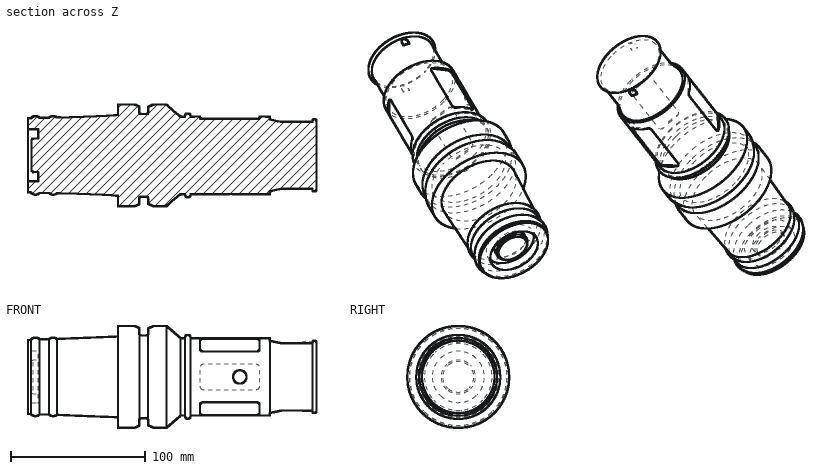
import cadquery as cq
import math

TOTAL_LENGTH = 215.14
FLANGE_RADIUS = 76.2 / 2

TIP_RADIUS = 27.7
SPIGOT_RADIUS = 28.2
TAPER_START_RADIUS = 28.4
TAPER_END_RADIUS = 30.2
SPIGOT_BEAD_RADIUS = 29.4
FIRST_BEAD_START = 2.2
FIRST_BEAD_END = 8.6
SECOND_BEAD_START = 15.8
SECOND_BEAD_END = 21.6

FLANGE_START = 67.0
GROOVE_START = 83.1
GROOVE_END = 89.5
GROOVE_RADIUS = 31.0
GROOVE_FILLET = 1.0
LIP_ANGLE = math.radians(25)
LIP_BEND_LENGTH = 2.0
FRONT_LIP_LENGTH = 2.6
REAR_LIP_LENGTH = 3.2
FLANGE_END = 103.2

BODY_START = 113.8
BODY_RADIUS = 29.0
BODY_BEAD_START = 117.0
BODY_BEAD_END = 121.3
BODY_BEAD_RADIUS = 31.4
BODY_END = 180.3
SHOULDER_RADIUS = 27.0
SHOULDER_END = 189.4

TAIL_RADIUS = 25.1
TAIL_BEAD_SIZE = 3.2
TAIL_BEAD_RADIUS = 27.1

RECESS_RADIUS = 19.3
RECESS_DEPTH = 7.6
STUD_RADIUS = 12.7
STUD_HEIGHT = 5.0
STUD_CHAMFER = 1.2

POCKET_COUNT = 3
POCKET_START = 128.4
POCKET_LENGTH = 44.1
POCKET_WIDTH = 19.2
POCKET_CORNER_RADIUS = 2.5
POCKET_FLOOR_RADIUS = 27.3

PLUG_X = 157.9
PLUG_RADIUS = 5.0
PLUG_HEIGHT = 0.1

ARROW_START = 204.9
ARROW_LENGTH = 6.5
ARROW_SHANK_LENGTH = 4.0
ARROW_WIDTH = 4.8
ARROW_HEIGHT = 0.4


def add_bead(profile, start, crest_radius, end):
    """Continue the profile to the start point, then over a rounded bead."""
    crest = ((start[0] + end[0]) / 2, crest_radius)
    return profile.lineTo(*start).threePointArc(crest, end)


def make_turned_body():
    """Revolve the stepped outline about X."""
    bend_radius = LIP_BEND_LENGTH / math.sin(LIP_ANGLE)
    bend_end_radius = FLANGE_RADIUS - bend_radius * (1 - math.cos(LIP_ANGLE))
    front_lip_radius = bend_end_radius - FRONT_LIP_LENGTH * math.tan(LIP_ANGLE)
    rear_lip_radius = bend_end_radius - REAR_LIP_LENGTH * math.tan(LIP_ANGLE)
    front_bend_end = GROOVE_START - FRONT_LIP_LENGTH
    rear_bend_start = GROOVE_END + REAR_LIP_LENGTH
    profile = cq.Workplane("XZ").lineTo(0, TIP_RADIUS)
    profile = add_bead(
        profile,
        (FIRST_BEAD_START, TIP_RADIUS),
        SPIGOT_BEAD_RADIUS,
        (FIRST_BEAD_END, SPIGOT_RADIUS),
    )
    profile = add_bead(
        profile,
        (SECOND_BEAD_START, SPIGOT_RADIUS),
        SPIGOT_BEAD_RADIUS,
        (SECOND_BEAD_END, TAPER_START_RADIUS),
    )
    profile = (
        profile.lineTo(FLANGE_START, TAPER_END_RADIUS)
        .lineTo(FLANGE_START, FLANGE_RADIUS)
        .lineTo(front_bend_end - LIP_BEND_LENGTH, FLANGE_RADIUS)
        .radiusArc((front_bend_end, bend_end_radius), bend_radius)
        .lineTo(GROOVE_START, front_lip_radius)
        .lineTo(GROOVE_START, GROOVE_RADIUS + GROOVE_FILLET)
        .radiusArc((GROOVE_START + GROOVE_FILLET, GROOVE_RADIUS), -GROOVE_FILLET)
        .lineTo(GROOVE_END - GROOVE_FILLET, GROOVE_RADIUS)
        .radiusArc((GROOVE_END, GROOVE_RADIUS + GROOVE_FILLET), -GROOVE_FILLET)
        .lineTo(GROOVE_END, rear_lip_radius)
        .lineTo(rear_bend_start, bend_end_radius)
        .radiusArc((rear_bend_start + LIP_BEND_LENGTH, FLANGE_RADIUS), bend_radius)
        .lineTo(FLANGE_END, FLANGE_RADIUS)
        .lineTo(BODY_START, BODY_RADIUS)
    )
    profile = add_bead(
        profile,
        (BODY_BEAD_START, BODY_RADIUS),
        BODY_BEAD_RADIUS,
        (BODY_BEAD_END, BODY_RADIUS),
    )
    profile = (
        profile.lineTo(BODY_END, BODY_RADIUS)
        .lineTo(BODY_END, SHOULDER_RADIUS)
        .lineTo(SHOULDER_END, TAIL_RADIUS)
    )
    tail_bead_start = TOTAL_LENGTH - TAIL_BEAD_SIZE
    tail_bead_base = TAIL_BEAD_RADIUS - TAIL_BEAD_SIZE / 2
    profile = profile.lineTo(tail_bead_start, TAIL_RADIUS)
    profile = add_bead(
        profile,
        (tail_bead_start, tail_bead_base),
        TAIL_BEAD_RADIUS,
        (TOTAL_LENGTH, tail_bead_base),
    )
    return profile.lineTo(TOTAL_LENGTH, 0).close().revolve(360, (0, 0, 0), (1, 0, 0))


def make_recess():
    """Ring-shaped void that leaves the central stud standing."""
    void = cq.Workplane("YZ").circle(RECESS_RADIUS).extrude(RECESS_DEPTH)
    stud = (
        cq.Workplane("YZ", origin=(RECESS_DEPTH - STUD_HEIGHT, 0, 0))
        .circle(STUD_RADIUS)
        .extrude(STUD_HEIGHT)
        .faces("<X")
        .chamfer(STUD_CHAMFER)
    )
    return void.cut(stud)


def make_pocket(angle):
    """Cutter for one flat pocket, turned about X from the +Y side."""
    cutter_height = FLANGE_RADIUS - POCKET_FLOOR_RADIUS
    return (
        cq.Workplane("XY")
        .box(POCKET_LENGTH, cutter_height, POCKET_WIDTH, centered=(False, False, True))
        .edges("|Y")
        .fillet(POCKET_CORNER_RADIUS)
        .translate((POCKET_START, POCKET_FLOOR_RADIUS, 0))
        .rotate((0, 0, 0), (1, 0, 0), angle)
    )


def make_plug():
    """Flat-faced disc standing slightly proud of the -Y side."""
    return (
        cq.Workplane("XZ")
        .center(PLUG_X, 0)
        .circle(PLUG_RADIUS)
        .extrude(BODY_RADIUS + PLUG_HEIGHT)
    )


def make_arrows():
    """Arrow prism through the tail, trimmed to a thin layer above its surface."""
    half_width = ARROW_WIDTH / 2
    prism = (
        cq.Workplane("XY")
        .moveTo(ARROW_START, -half_width)
        .lineTo(ARROW_START + ARROW_SHANK_LENGTH, -half_width)
        .lineTo(ARROW_START + ARROW_LENGTH, 0)
        .lineTo(ARROW_START + ARROW_SHANK_LENGTH, half_width)
        .lineTo(ARROW_START, half_width)
        .close()
        .extrude(FLANGE_RADIUS, both=True)
    )
    envelope = (
        cq.Workplane("YZ", origin=(ARROW_START, 0, 0))
        .circle(TAIL_RADIUS + ARROW_HEIGHT)
        .extrude(ARROW_LENGTH)
    )
    return prism.intersect(envelope)


part = make_turned_body().cut(make_recess())
for index in range(POCKET_COUNT):
    part = part.cut(make_pocket(index * 360 / POCKET_COUNT))
result = part.union(make_plug()).union(make_arrows())